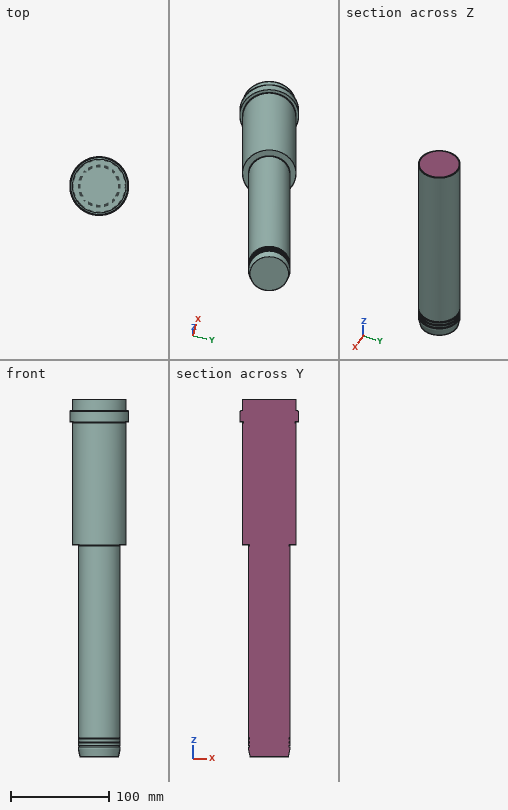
import cadquery as cq

total_length = 363.0
head_diameter = 54.5
head_length = 147.7
shank_length = total_length - head_length
shank_diameter = 42.5

collar_diameter = 60.0
collar_top_offset = 11.3
collar_height = 11.5
collar_bottom = total_length - collar_top_offset - collar_height
collar_chamfer = 1.0

tip_diameter = 39.2
taper_height = 7.5

groove_count = 3
groove_pitch = 4.0
groove_width = 1.0
groove_depth = 0.7
first_groove_height = 10.0


def cylinder(diameter, bottom, height):
    """Solid cylinder on the Z axis, starting at the given height."""
    return cq.Workplane("XY").workplane(offset=bottom).circle(diameter / 2).extrude(height)


def make_shank():
    """Slender lower cylinder with a conical lead-in."""
    tip_radius = tip_diameter / 2
    shank_radius = shank_diameter / 2
    profile = (
        cq.Workplane("XZ")
        .lineTo(tip_radius, 0)
        .lineTo(shank_radius, taper_height)
        .lineTo(shank_radius, shank_length)
        .lineTo(0, shank_length)
        .close()
    )
    return profile.revolve(360, (0, 0, 0), (0, 1, 0))


def make_head():
    """Wider upper cylinder forming a square shoulder over the shank."""
    return cylinder(head_diameter, shank_length, head_length)


def make_collar():
    """Raised ring with a chamfered upper edge."""
    collar = cylinder(collar_diameter, collar_bottom, collar_height)
    return collar.faces(">Z").edges().chamfer(collar_chamfer)


def make_groove(bottom, body_diameter):
    """Ring of material to remove from a cylinder of the given diameter."""
    outer = cylinder(body_diameter, bottom, groove_width)
    core = cylinder(body_diameter - 2 * groove_depth, bottom, groove_width)
    return outer.cut(core)


result = make_shank().union(make_head()).union(make_collar())

for index in range(groove_count):
    groove_bottom = first_groove_height + index * groove_pitch
    result = result.cut(make_groove(groove_bottom, shank_diameter))

result = result.cut(make_groove(collar_bottom - groove_width, head_diameter))
result = result.cut(make_groove(shank_length - groove_width, shank_diameter))